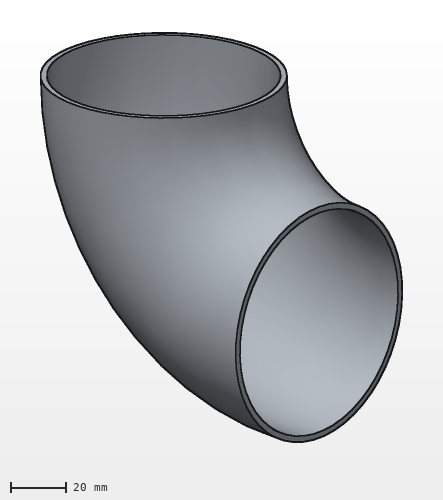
import cadquery as cq

outer_reach = 120.5
pipe_diameter = 88.9
wall_thickness = 2.3
bend_angle = 90.0

outer_radius = pipe_diameter / 2
inner_radius = outer_radius - wall_thickness
bend_radius = outer_reach - outer_radius

result = (
    cq.Workplane("XY")
    .center(-bend_radius, 0)
    .circle(outer_radius)
    .circle(inner_radius)
    .revolve(bend_angle, (bend_radius, 0, 0), (bend_radius, -1, 0))
)